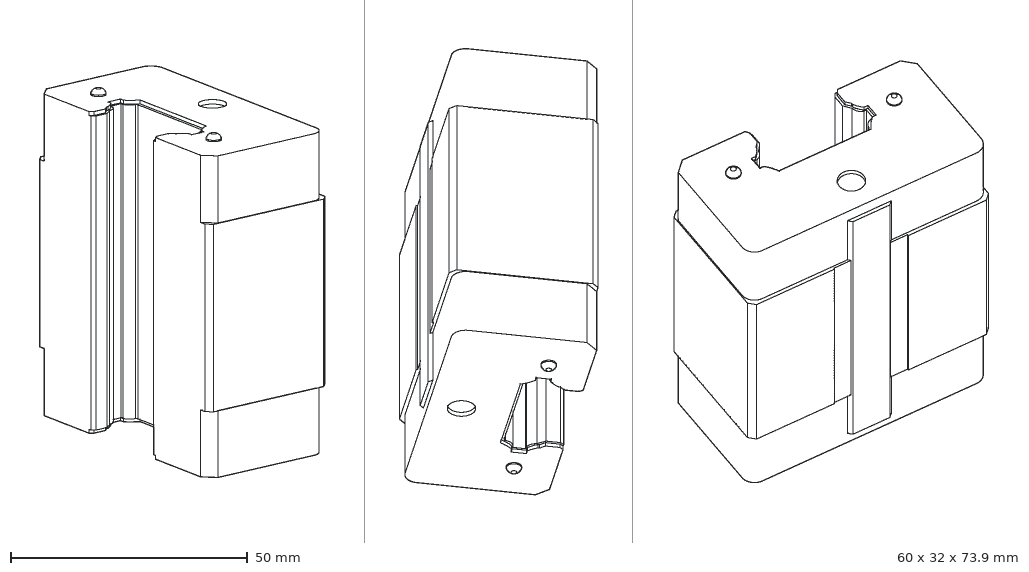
import cadquery as cq


block_width = 60.0
block_height = 32.0
block_length = 41.5
block_top_chamfer = 1.4
block_bottom_chamfer = 1.3
groove_width = 18.4
groove_depth = 0.3

cap_width = 59.5
cap_height = 31.15
overall_cap_length = 71.2
cap_top_radius = 3.1
cap_bottom_chamfer = 2.6

strip_top_width = 9.2
strip_rise = block_height - cap_height
strip_length = 65.6

raceway_height = 9.0
mouth_chamfer_height = 0.85
channel_mouth_half_width = 10.85
channel_throat_corner = (10.3, 3.9)
channel_shoulder = (11.2, 5.1)
channel_top_corner = (11.2, 12.75)
channel_raceway = {
    "pocket": (13.95, 1.4),
    "root": (13.3, 1.4),
    "middle": (12.1, 2.2),
    "tip": (11.65, 3.4),
}

relief_depth = 0.85
relief_mouth_half_width = 11.5
relief_throat_corner = (10.9, 3.9)
relief_shoulder = (11.9, 5.0)
relief_top_corner = (11.4, 13.5)
relief_raceway = {
    "pocket": (14.5, 1.65),
    "root": (13.5, 1.65),
    "middle": (12.4, 2.85),
    "tip": (11.9, 3.65),
}

port_diameter = 6.0
port_height = 24.0
port_depth = 1.0

overall_length = 73.9
screw_spacing = 40.0
screw_height = 9.0
screw_diameter = 3.3
screw_rim_height = 0.3
screw_flat_diameter = 1.2
screw_head_height = (overall_length - overall_cap_length) / 2


def box_along_z(width, bottom, top, length):
    """Box centred on X = 0 and Z = 0, spanning bottom to top in Y."""
    return cq.Workplane("XY").box(width, top - bottom, length).translate((0, (bottom + top) / 2, 0))


def make_block():
    block = box_along_z(block_width, 0, block_height, block_length)
    block = block.edges("|Z and >Y").chamfer(block_top_chamfer)
    block = block.edges("|Z and <Y").chamfer(block_bottom_chamfer)
    groove = box_along_z(groove_width, block_height - groove_depth, block_height, block_length)
    return block.cut(groove)


def make_caps():
    caps = box_along_z(cap_width, 0, cap_height, overall_cap_length)
    caps = caps.edges("|Z and >Y").fillet(cap_top_radius)
    return caps.edges("|Z and <Y").chamfer(cap_bottom_chamfer)


def make_strip():
    top_half = strip_top_width / 2
    foot_half = top_half + strip_rise
    outline = [
        (-foot_half, cap_height),
        (foot_half, cap_height),
        (top_half, block_height),
        (-top_half, block_height),
    ]
    return cq.Workplane("XY").polyline(outline).close().extrude(strip_length / 2, both=True)


def make_channel(length, mouth_half_width, throat_corner, shoulder, raceway, top_corner):
    """Solid filling a rail channel of the given outline, centred on Z = 0."""
    above = {name: (x, raceway_height + offset) for name, (x, offset) in raceway.items()}
    below = {name: (x, raceway_height - offset) for name, (x, offset) in raceway.items()}
    half = (
        cq.Workplane("XY")
        .lineTo(mouth_half_width, 0)
        .lineTo(throat_corner[0], mouth_chamfer_height)
        .lineTo(*throat_corner)
        .lineTo(*shoulder)
        .lineTo(*below["tip"])
        .threePointArc(below["middle"], below["root"])
        .lineTo(*below["pocket"])
        .lineTo(*above["pocket"])
        .lineTo(*above["root"])
        .threePointArc(above["middle"], above["tip"])
        .lineTo(*top_corner)
        .lineTo(0, top_corner[1])
        .close()
        .extrude(length / 2, both=True)
    )
    return half.union(half.mirror("YZ"))


def make_rail_channel():
    return make_channel(
        overall_cap_length,
        channel_mouth_half_width,
        channel_throat_corner,
        channel_shoulder,
        channel_raceway,
        channel_top_corner,
    )


def make_end_relief(side):
    relief = make_channel(
        2 * relief_depth,
        relief_mouth_half_width,
        relief_throat_corner,
        relief_shoulder,
        relief_raceway,
        relief_top_corner,
    )
    return relief.translate((0, 0, side * overall_cap_length / 2))


def make_port(side):
    port = cq.Workplane("XY").circle(port_diameter / 2).extrude(port_depth, both=True)
    return port.translate((0, port_height, side * overall_cap_length / 2))


def make_screw_head(x, side):
    """Screw head with a short rim, a domed flank and a small flat on top."""
    rim_radius = screw_diameter / 2
    flat_radius = screw_flat_diameter / 2
    dome_height = screw_head_height - screw_rim_height
    centre_drop = (rim_radius**2 - flat_radius**2 - dome_height**2) / (2 * dome_height)
    sphere_radius = (rim_radius**2 + centre_drop**2) ** 0.5
    middle_radius = (rim_radius + flat_radius) / 2
    middle_height = screw_rim_height - centre_drop + (sphere_radius**2 - middle_radius**2) ** 0.5
    head = (
        cq.Workplane("XZ")
        .moveTo(0, 0)
        .lineTo(rim_radius, 0)
        .lineTo(rim_radius, screw_rim_height)
        .threePointArc((middle_radius, middle_height), (flat_radius, screw_head_height))
        .lineTo(0, screw_head_height)
        .close()
        .revolve(360, (0, 0, 0), (0, 1, 0))
    )
    if side < 0:
        head = head.mirror("XY")
    return head.translate((x, screw_height, side * overall_cap_length / 2))


result = make_caps().union(make_block()).union(make_strip()).cut(make_rail_channel())
for end in (-1, 1):
    result = result.cut(make_end_relief(end)).cut(make_port(end))
    for screw_x in (-screw_spacing / 2, screw_spacing / 2):
        result = result.union(make_screw_head(screw_x, end))